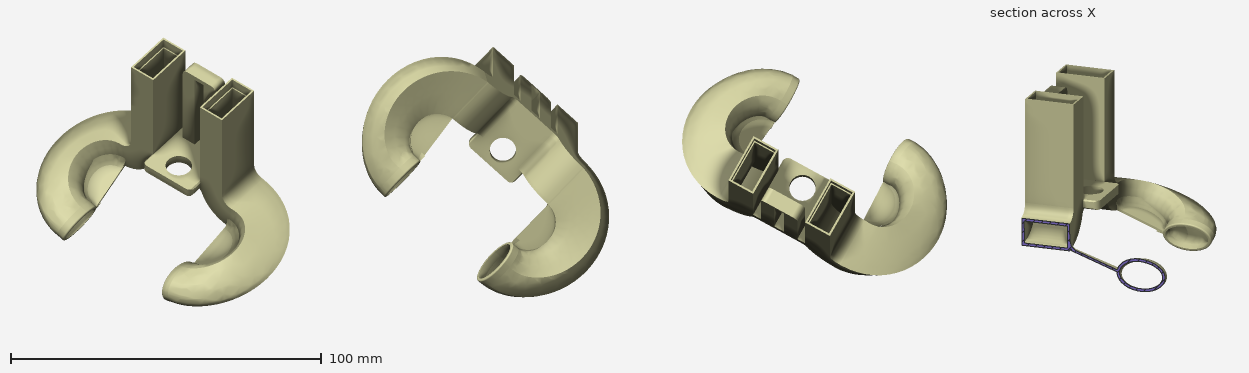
import cadquery as cq
import math


tube_top = 38.05
tube_inner_x = 9.6
tube_width = 9.1
tube_depth = 16.6
duct_wall = 1.0
socket_wall = 0.6
socket_depth = 3.5

bend_inner_radius = 4.1
bend_center_z = 2.9
bend_angle = 81
bend_tail = 0.45
bend_fillet_radius = 2.9

nozzle_half_width = 8.3
nozzle_half_height = 5.3
nozzle_length = 2.8
nozzle_corner_angles = [-37, 102, 180, 250]
nozzle_pitch = 17.4
nozzle_start_x = -22.8
nozzle_start_z = -15.55
overall_depth = 49.35
curve_reach = 15.1
curve_bank = 10
corner_power = 1.2
round_power = 2
curve_swell = 0.18
curve_skew = 0.02
section_count = 7
rim_round = 0.45

web_thickness = 0.8
web_fillet = 2.7
web_fillet_sink = 0.045

plate_half_width = 9.9
plate_depth = 22.0
plate_thickness = 3.1
plate_corner = 2.0
plate_chamfer = 0.45
hole_diameter = 8.5
hole_y = -15.5
upright_width = 13.5
upright_depth = 5.0
upright_top = 35.2
upright_corner = 2.0
slot_width = 3.6
slot_top = 33.5

section_positions = [i / (section_count - 1) for i in range(section_count)]
tube_outer_x = tube_inner_x + tube_width
bend_center_x = -tube_outer_x - bend_inner_radius


def bend_point(radius, angle):
    """X and Z of a point on the bend, `angle` degrees down from its start."""
    a = math.radians(angle)
    return (bend_center_x + radius * math.cos(a), bend_center_z - radius * math.sin(a))


def tail_point(radius):
    """End of the short straight tail that follows the bend."""
    a = math.radians(bend_angle)
    x, z = bend_point(radius, bend_angle)
    return (x - bend_tail * math.sin(a), z - bend_tail * math.cos(a))


def tube_and_bend(inset):
    """Tube and bend, with every side moved inwards by `inset`."""
    inner = bend_inner_radius + inset
    outer = bend_inner_radius + tube_width - inset
    profile = (
        cq.Workplane("XZ", origin=(0, -inset, 0))
        .moveTo(bend_center_x + inner, tube_top)
        .lineTo(bend_center_x + inner, bend_center_z)
        .threePointArc(bend_point(inner, bend_angle / 2), bend_point(inner, bend_angle))
        .lineTo(*tail_point(inner))
        .lineTo(*tail_point(outer))
        .lineTo(*bend_point(outer, bend_angle))
        .threePointArc(bend_point(outer, bend_angle / 2), (bend_center_x + outer, bend_center_z))
        .lineTo(bend_center_x + outer, tube_top)
        .close()
    )
    return profile.extrude(tube_depth - 2 * inset)


def plate_gusset():
    """Concave fillet between the underside of the plate and the bend."""
    outer = bend_inner_radius + tube_width
    reach = outer + bend_fillet_radius
    drop = bend_center_z + bend_fillet_radius
    center_x = bend_center_x + math.sqrt(reach**2 - drop**2)
    center_z = -bend_fillet_radius
    start_angle = math.degrees(math.asin(drop / reach))
    mid = math.radians((90 + 180 - start_angle) / 2)
    arc_mid = (
        center_x + bend_fillet_radius * math.cos(mid),
        center_z + bend_fillet_radius * math.sin(mid),
    )
    return (
        cq.Workplane("XZ")
        .moveTo(center_x, 0)
        .threePointArc(arc_mid, bend_point(outer, start_angle))
        .lineTo(-tube_inner_x - bend_fillet_radius, plate_thickness / 2)
        .lineTo(center_x, plate_thickness / 2)
        .close()
        .extrude(tube_depth)
    )


def blend(start, end, t):
    return start + (end - start) * t


def section_frame(t):
    """Center, outward direction and upward direction of the duct section at `t` from 0 to 1."""
    turn = math.radians(180 * t)
    pitch = math.radians(blend(90 - bend_angle, nozzle_pitch, t))
    bank = math.radians(curve_bank * math.sin(turn))
    start_x, start_z = tail_point(bend_inner_radius + tube_width / 2)
    start_y = -tube_depth / 2
    end_y = nozzle_half_width - overall_depth
    center = cq.Vector(
        blend(start_x, nozzle_start_x, t) - curve_reach * (math.sin(turn) + curve_skew * math.sin(2 * turn)),
        (start_y + end_y) / 2 + (start_y - end_y) / 2 * math.cos(turn),
        blend(start_z, nozzle_start_z, t),
    )
    heading = cq.Vector(-math.cos(turn), -math.sin(turn), 0)
    level_out = cq.Vector(-math.sin(turn), math.cos(turn), 0)
    level_up = heading * math.sin(pitch) + cq.Vector(0, 0, math.cos(pitch))
    outward = level_out * math.cos(bank) - level_up * math.sin(bank)
    upward = level_up * math.cos(bank) + level_out * math.sin(bank)
    return center, outward, upward


def section_corners(t, inset):
    """Corners in section coordinates: outer top, inner top, inner bottom, outer bottom."""
    half_width = tube_depth / 2 - inset
    half_height = tube_width / 2 - inset
    corner_sides = [(1, 1), (-1, 1), (-1, -1), (1, -1)]
    corners = []
    growth = 1 + curve_swell * math.sin(math.pi * t)
    progress = t**corner_power
    for (side_x, side_y), angle in zip(corner_sides, nozzle_corner_angles):
        a = math.radians(angle)
        x = blend(side_x * half_width, (nozzle_half_width - inset) * math.cos(a), progress)
        y = blend(side_y * half_height, (nozzle_half_height - inset) * math.sin(a), progress)
        corners.append(cq.Vector(x, y * growth))
    return corners


def ellipse_handle(angle, span, inset):
    """Handle of the cubic curve that follows the nozzle ellipse over `span` degrees."""
    a = math.radians(angle)
    reach = 4 / 3 * math.tan(math.radians(span) / 4)
    tangent_x = -(nozzle_half_width - inset) * math.sin(a)
    tangent_y = (nozzle_half_height - inset) * math.cos(a)
    return cq.Vector(tangent_x, tangent_y) * reach


def section_point(t, local):
    """Position in space of a point given in the coordinates of the section at `t`."""
    center, outward, upward = section_frame(t)
    return center + outward * local.x + upward * local.y


def section_wire(t, inset):
    """Closed section whose four sides swell from straight lines to elliptical arcs."""
    corners = section_corners(t, inset)
    edges = []
    roundness = t**round_power
    for i in range(4):
        j = (i + 1) % 4
        start, end = corners[i], corners[j]
        third = (end - start) * ((1 - roundness) / 3)
        span = (nozzle_corner_angles[j] - nozzle_corner_angles[i]) % 360
        handle_1 = third + ellipse_handle(nozzle_corner_angles[i], span, inset) * roundness
        handle_2 = third + ellipse_handle(nozzle_corner_angles[j], span, inset) * roundness
        controls = [start, start + handle_1, end - handle_2, end]
        edges.append(cq.Edge.makeBezier([section_point(t, p) for p in controls]))
    return cq.Wire.assembleEdges(edges)


def curved_duct(inset):
    """Half turn from the tail of the bend to the nozzle."""
    return cq.Workplane(cq.Solid.makeLoft([section_wire(t, inset) for t in section_positions]))


def nozzle_run():
    """Vector along the straight nozzle."""
    pitch = math.radians(nozzle_pitch)
    return cq.Vector(math.cos(pitch), 0, -math.sin(pitch)) * nozzle_length


def nozzle(inset):
    """Straight elliptical nozzle, with its wall moved inwards by `inset`."""
    return cq.Workplane(cq.Solid.extrudeLinear(section_wire(1, inset), [], nozzle_run()))


def rounded_nozzle():
    """Solid nozzle with its mouth rounded."""
    return nozzle(0).faces(">X").edges().fillet(rim_round)


def inner_bottom(t):
    """Point at `t` on the inner bottom edge of the curve, which the web meets."""
    return section_point(t, section_corners(t, 0)[2])


def web_plane():
    """Plane of the underside of the web, with its normal pointing up."""
    start, middle, end = [inner_bottom(t) for t in (0, 0.5, 1)]
    return cq.Plane(origin=start, xDir=end - start, normal=(middle - start).cross(end - start))


def web():
    """Flat web between the inner bottom edge of the curve and the chord across its ends."""
    plane = web_plane()
    points = [inner_bottom(0.5), inner_bottom(1), inner_bottom(1) + nozzle_run()]
    middle, end, tip = [plane.toLocalCoords(p).toTuple()[:2] for p in points]
    outline = cq.Workplane(plane).moveTo(0, 0).threePointArc(middle, end).lineTo(*tip).close()
    return outline.extrude(web_thickness)


def web_fillet_wire(t):
    """Section of the concave fillet between the web and the inner wall of the curve."""
    plane = web_plane()
    normal = plane.zDir
    corners = section_corners(t, 0)
    outward = section_frame(t)[1]
    outward = (outward - normal * outward.dot(normal)).normalized()
    wall = section_point(t, corners[1]) - section_point(t, corners[2])
    wall = (outward * wall.dot(outward) + normal * wall.dot(normal)).normalized()
    foot = inner_bottom(t)
    foot = foot - normal * (foot - plane.origin).dot(normal)
    wall_end = foot + wall * (web_thickness + web_fillet)
    bend = foot + wall * web_thickness
    web_end = bend - outward * web_fillet - normal * web_fillet_sink
    under_web = web_end - normal * (web_thickness / 2)
    under_wall = foot + outward * (duct_wall / 2) + normal * (web_thickness / 2)
    edges = [cq.Edge.makeBezier([wall_end, bend, web_end])]
    for a, b in [(web_end, under_web), (under_web, under_wall), (under_wall, wall_end)]:
        edges.append(cq.Edge.makeLine(a, b))
    return cq.Wire.assembleEdges(edges)


def web_fillet_bead():
    curve = cq.Solid.makeLoft([web_fillet_wire(t) for t in section_positions])
    straight = cq.Solid.extrudeLinear(web_fillet_wire(1), [], nozzle_run())
    return cq.Workplane(curve).union(cq.Workplane(straight))


def socket():
    """Thinner-walled recess at the top of the tube."""
    size_x = tube_width - 2 * socket_wall
    size_y = tube_depth - 2 * socket_wall
    center = (-tube_inner_x - tube_width / 2, -tube_depth / 2, tube_top - socket_depth / 2)
    return cq.Workplane("XY", origin=center).box(size_x, size_y, socket_depth)


def duct():
    """Complete hollow duct on the negative X side."""
    body = curved_duct(0)
    for piece in (web(), web_fillet_bead(), rounded_nozzle(), tube_and_bend(0), plate_gusset()):
        body = body.union(piece)
    cavity = tube_and_bend(duct_wall).union(curved_duct(duct_wall)).union(nozzle(duct_wall))
    return body.cut(cavity).cut(socket())


def plate():
    """Plate with rounded front corners, chamfered sides and a round hole."""
    slab = (
        cq.Workplane("XY")
        .rect(2 * plate_half_width, 2 * plate_depth)
        .extrude(plate_thickness)
        .edges("|Z").fillet(plate_corner)
    )
    front = cq.Workplane("XY", origin=(0, -plate_depth / 2, plate_thickness / 2))
    front = front.box(2 * plate_half_width, plate_depth, plate_thickness)
    slab = slab.intersect(front.edges("|Y").chamfer(plate_chamfer))
    return slab.faces(">Z").workplane(origin=(0, hole_y, 0)).hole(hole_diameter)


def upright():
    """Slotted post standing at the back of the plate."""
    post = (
        cq.Workplane("XY")
        .box(upright_width, upright_depth, upright_top, centered=(True, False, False))
        .translate((0, -upright_depth, 0))
        .edges("|Y and >Z").fillet(upright_corner)
    )
    slot = (
        cq.Workplane("XY", origin=(0, -upright_depth / 2, plate_thickness))
        .box(slot_width, upright_depth, slot_top - plate_thickness, centered=(True, True, False))
    )
    return post.cut(slot)


left = duct()
part = plate().union(upright()).union(left).union(left.mirror("YZ"))
result = cq.Workplane(part.solids().val())